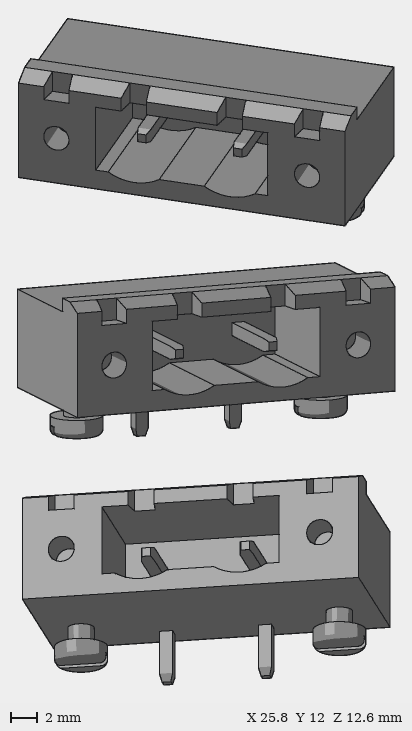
import cadquery as cq

length = 25.82
depth = 12.0
body_height = 7.57
ridge_height = 8.6
ridge_depth = 3.0
bevel_depth = 1.5
bevel_front_height = 8.0

cavity_width = 13.6
cavity_floor = 1.6
cavity_roof = 6.92
cavity_depth = 8.99
scallop_width = 4.03
scallop_drop = 0.57

notch_front_width = 2.0
notch_back_width = 1.58

contact_x = 3.8
contact_z = 3.8
pin_size = 1.0
pin_tip_size = 0.67
pin_taper = 0.62
pin_front_y = 2.0
pin_leg_y = 10.0
overall_height = 12.6
pin_bottom = overall_height - ridge_height

flange_x = 9.91
hole_diameter = 2.0
hole_depth = 3.0
screw_y = 7.51
shank_length = 1.5
head_diameter = 4.0
head_height = 1.5
head_fillet = 0.5
slot_width = 0.65
slot_depth = 0.8


def make_housing():
    """Stepped block with a bevelled ridge along the front edge."""
    return (
        cq.Workplane("YZ")
        .moveTo(0, 0)
        .lineTo(depth, 0)
        .lineTo(depth, body_height)
        .lineTo(ridge_depth, body_height)
        .lineTo(ridge_depth, ridge_height)
        .lineTo(bevel_depth, ridge_height)
        .lineTo(0, bevel_front_height)
        .close()
        .extrude(length / 2, both=True)
    )


def make_cavity():
    """Rectangular pocket with one shallow arc below each contact."""
    half_width = cavity_width / 2
    outline = cq.Workplane("XZ").moveTo(-half_width, cavity_floor)
    for x in (-contact_x, contact_x):
        outline = outline.lineTo(x - scallop_width / 2, cavity_floor).threePointArc(
            (x, cavity_floor - scallop_drop),
            (x + scallop_width / 2, cavity_floor),
        )
    return (
        outline.lineTo(half_width, cavity_floor)
        .lineTo(half_width, cavity_roof)
        .lineTo(-half_width, cavity_roof)
        .close()
        .extrude(-cavity_depth)
    )


def make_notch(x):
    """Vertical notch that narrows toward the back."""
    return (
        cq.Workplane("XY", origin=(x, 0, cavity_roof))
        .moveTo(-notch_front_width / 2, 0)
        .lineTo(notch_front_width / 2, 0)
        .lineTo(notch_back_width / 2, bevel_depth)
        .lineTo(-notch_back_width / 2, bevel_depth)
        .close()
        .extrude(ridge_height - cavity_roof)
    )


def make_flange_hole(x):
    return (
        cq.Workplane("XZ", origin=(x, 0, contact_z))
        .circle(hole_diameter / 2)
        .extrude(-hole_depth)
    )


def make_pin_arm(plane, arm_length):
    """Square bar from the plane origin along its normal, ending in a tapered tip."""
    straight_length = arm_length - pin_taper
    bar = cq.Workplane(plane).rect(pin_size, pin_size).extrude(straight_length)
    tip = (
        cq.Workplane(plane)
        .workplane(offset=straight_length)
        .rect(pin_size, pin_size)
        .workplane(offset=pin_taper)
        .rect(pin_tip_size, pin_tip_size)
        .loft(combine=True)
    )
    return bar.union(tip)


def make_contact(x):
    """Contact with a horizontal arm in the cavity and a leg below the housing."""
    bend = (x, pin_leg_y, contact_z)
    front_plane = cq.Plane(origin=bend, xDir=(1, 0, 0), normal=(0, -1, 0))
    down_plane = cq.Plane(origin=bend, xDir=(1, 0, 0), normal=(0, 0, -1))
    arm = make_pin_arm(front_plane, pin_leg_y - pin_front_y)
    leg = make_pin_arm(down_plane, contact_z + pin_bottom)
    return arm.union(leg)


def make_screw(x):
    """Slotted mounting screw hanging from the underside."""
    shank = (
        cq.Workplane("XY", origin=(x, screw_y, 0))
        .circle(hole_diameter / 2)
        .extrude(-shank_length)
    )
    head = (
        cq.Workplane("XY", origin=(x, screw_y, -shank_length))
        .circle(head_diameter / 2)
        .extrude(-head_height)
        .faces("<Z")
        .edges()
        .fillet(head_fillet)
    )
    slot_centre_z = -shank_length - head_height + slot_depth / 2
    slot = cq.Workplane("XY", origin=(x, screw_y, slot_centre_z)).box(
        head_diameter, slot_width, slot_depth
    )
    return shank.union(head.cut(slot))


result = make_housing().cut(make_cavity())

for notch_x in (-flange_x, -contact_x, contact_x, flange_x):
    result = result.cut(make_notch(notch_x))

for side in (-1, 1):
    result = result.cut(make_flange_hole(side * flange_x))
    result = result.union(make_screw(side * flange_x))
    result = result.union(make_contact(side * contact_x))